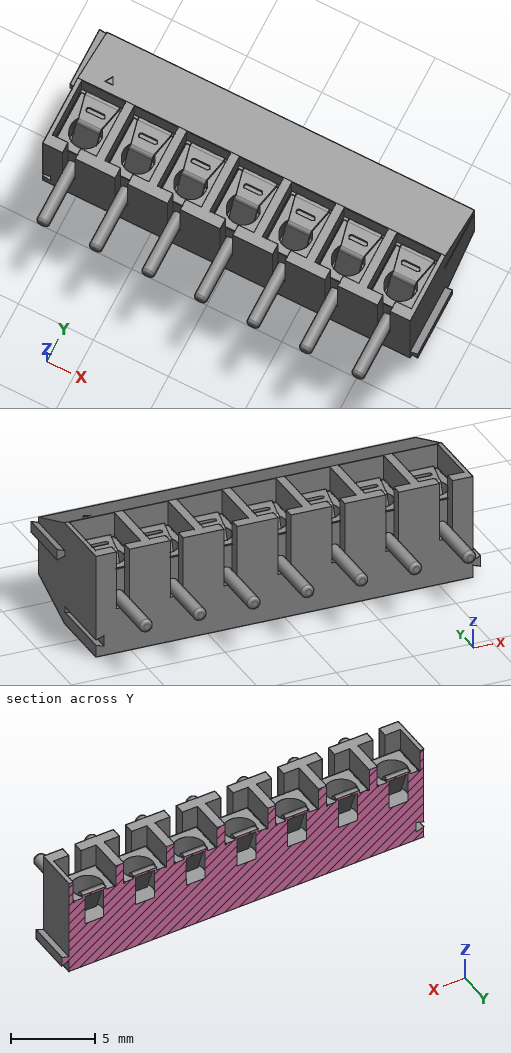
import cadquery as cq
import math

overall_length = 25.5
pole_count = 7

body_length = 24.5
body_depth = 8.4
body_height = 6.8
rear_taper_depth = 3.8
rear_taper_drop = 1.5
pole_pitch = body_length / pole_count
body_top = body_height / 2
ridge_y = body_depth - rear_taper_depth

pocket_width = 2.93
front_wall = 0.71
ridge_wall = 0.05
pocket_floor_depth = 1.58
pocket_rear_y = ridge_y - ridge_wall
pocket_floor_z = body_top - pocket_floor_depth

pin_diameter = 0.82
pin_length = 3.52
pin_tip_radius = 0.2
slot_width = 0.85

plate_height = 0.08
plate_side_gap = 0.08
plate_front_gap = 0.03
plate_rear_gap = 0.2
plate_top_z = pocket_floor_z + plate_height

wire_hole_diameter = 2.01
wire_hole_y = 2.2
wire_hole_bottom_z = -0.15

sheet_thickness = 0.2
bend_radius = plate_height + sheet_thickness
tongue_rear_width = 2.22
tongue_front_width = 1.55
tongue_taper_end_y = 2.78
tongue_front_bend_y = 2.73
tongue_dip_angle = math.radians(70)
release_slot_length = 1.22
release_slot_width = 0.3
release_slot_y = 3.5

rail_projection = (overall_length - body_length) / 2
dovetail_mouth = 0.35
dovetail_width = 0.71
groove_depth = 0.54
dovetail_split_y = pocket_rear_y
upper_dovetail_z = 1.38
lower_dovetail_z = -2.42

mark_width = 0.5
mark_height = 0.5
mark_base_y = 5.23
mark_depth = 0.08


def block(width, y_front, y_rear, z_bottom, z_top):
    """Box centred on x = 0 between the given y and z limits."""
    size = (width, y_rear - y_front, z_top - z_bottom)
    return cq.Workplane("XY").box(*size, centered=(True, False, False)).translate((0, y_front, z_bottom))


def housing():
    rear_top = body_top - rear_taper_drop
    outline = [
        (0, -body_top),
        (ridge_y, -body_top),
        (body_depth, -rear_top),
        (body_depth, rear_top),
        (ridge_y, body_top),
        (0, body_top),
    ]
    return cq.Workplane("YZ").polyline(outline).close().extrude(body_length / 2, both=True)


def pole_cutout():
    pocket = block(pocket_width, front_wall, pocket_rear_y, pocket_floor_z, body_top)
    slot = block(slot_width, 0, front_wall, -slot_width / 2, body_top)
    return pocket.union(slot)


def wire_hole():
    return (
        cq.Workplane("XY", origin=(0, wire_hole_y, wire_hole_bottom_z))
        .circle(wire_hole_diameter / 2)
        .extrude(plate_top_z - wire_hole_bottom_z)
    )


def clamp_plate():
    width = pocket_width - 2 * plate_side_gap
    y_front = front_wall + plate_front_gap
    y_rear = pocket_rear_y - plate_rear_gap
    return block(width, y_front, y_rear, pocket_floor_z, plate_top_z)


def spring_tongue():
    """Sheet bent down behind the plate at its rear and dipping into the wire hole at its front."""
    top_z = plate_top_z + sheet_thickness
    bend_z = pocket_floor_z
    rear_bend_y = pocket_rear_y - bend_radius
    inner_radius = bend_radius - sheet_thickness

    def front_bend(radius, angle):
        return (
            tongue_front_bend_y - radius * math.sin(angle),
            bend_z + radius * math.cos(angle),
        )

    def rear_bend(radius, angle):
        return (rear_bend_y + radius * math.sin(angle), bend_z + radius * math.cos(angle))

    def dip_end(radius):
        """Point where the dipping leg reaches the bottom of the wire hole."""
        start_y, start_z = front_bend(radius, tongue_dip_angle)
        return (start_y - (start_z - wire_hole_bottom_z) / math.tan(tongue_dip_angle), wire_hole_bottom_z)

    half_dip = tongue_dip_angle / 2
    quarter_turn = math.pi / 2
    sheet = (
        cq.Workplane("YZ")
        .moveTo(*dip_end(bend_radius))
        .lineTo(*front_bend(bend_radius, tongue_dip_angle))
        .threePointArc(front_bend(bend_radius, half_dip), front_bend(bend_radius, 0))
        .lineTo(*rear_bend(bend_radius, 0))
        .threePointArc(rear_bend(bend_radius, quarter_turn / 2), rear_bend(bend_radius, quarter_turn))
        .lineTo(*rear_bend(inner_radius, quarter_turn))
        .threePointArc(rear_bend(inner_radius, quarter_turn / 2), rear_bend(inner_radius, 0))
        .lineTo(*front_bend(inner_radius, 0))
        .threePointArc(front_bend(inner_radius, half_dip), front_bend(inner_radius, tongue_dip_angle))
        .lineTo(*dip_end(inner_radius))
        .close()
        .extrude(tongue_rear_width / 2, both=True)
    )
    front_half = tongue_front_width / 2
    rear_half = tongue_rear_width / 2
    plan = (
        cq.Workplane("XY", origin=(0, 0, wire_hole_bottom_z))
        .polyline([
            (-front_half, front_wall),
            (front_half, front_wall),
            (front_half, tongue_taper_end_y),
            (rear_half, rear_bend_y),
            (rear_half, pocket_rear_y),
            (-rear_half, pocket_rear_y),
            (-rear_half, rear_bend_y),
            (-front_half, tongue_taper_end_y),
        ])
        .close()
        .extrude(top_z - wire_hole_bottom_z)
    )
    release_slot = (
        cq.Workplane("XY", origin=(0, release_slot_y, plate_top_z))
        .slot2D(release_slot_length, release_slot_width)
        .extrude(sheet_thickness)
    )
    return sheet.intersect(plan).cut(release_slot)


def solder_pin():
    """Pin rooted in the wall behind the slot, with a rounded tip."""
    return (
        cq.Workplane("XZ", origin=(0, front_wall, 0))
        .circle(pin_diameter / 2)
        .extrude(front_wall + pin_length)
        .faces("<Y")
        .edges()
        .fillet(pin_tip_radius)
    )


def dovetail(x_mouth, reach, z_centre, y_front, y_rear):
    """Dovetail bar widening from its mouth at x_mouth over a signed reach along x."""
    mouth_half = dovetail_mouth / 2
    wide_half = dovetail_width / 2
    return (
        cq.Workplane("XZ", origin=(0, y_rear, z_centre))
        .polyline([
            (x_mouth, -mouth_half),
            (x_mouth + reach, -wide_half),
            (x_mouth + reach, wide_half),
            (x_mouth, mouth_half),
        ])
        .close()
        .extrude(y_rear - y_front)
    )


def pole_mark(x_centre):
    """Triangle cut to a constant depth below the sloping upper rear face."""
    triangle = (
        cq.Workplane("XY", origin=(x_centre, mark_base_y, 0))
        .polyline([(-mark_width / 2, 0), (mark_width / 2, 0), (0, mark_height)])
        .close()
        .extrude(body_top)
    )
    return triangle.cut(housing().translate((0, 0, -mark_depth)))


pole_positions = [(i - (pole_count - 1) / 2) * pole_pitch for i in range(pole_count)]
left_face = -body_length / 2
right_face = body_length / 2

result = housing().cut(pole_mark(pole_positions[0]))

result = result.cut(dovetail(left_face, groove_depth, lower_dovetail_z, 0, dovetail_split_y))
result = result.cut(dovetail(right_face, -groove_depth, upper_dovetail_z, dovetail_split_y, body_depth))
result = result.union(dovetail(left_face, -rail_projection, upper_dovetail_z, dovetail_split_y, body_depth))
result = result.union(dovetail(right_face, rail_projection, lower_dovetail_z, 0, dovetail_split_y))

for pole_x in pole_positions:
    at_pole = (pole_x, 0, 0)
    result = result.cut(pole_cutout().translate(at_pole))
    result = result.union(clamp_plate().translate(at_pole))
    result = result.cut(wire_hole().translate(at_pole))
    result = result.union(spring_tongue().translate(at_pole))
    result = result.union(solder_pin().translate(at_pole))